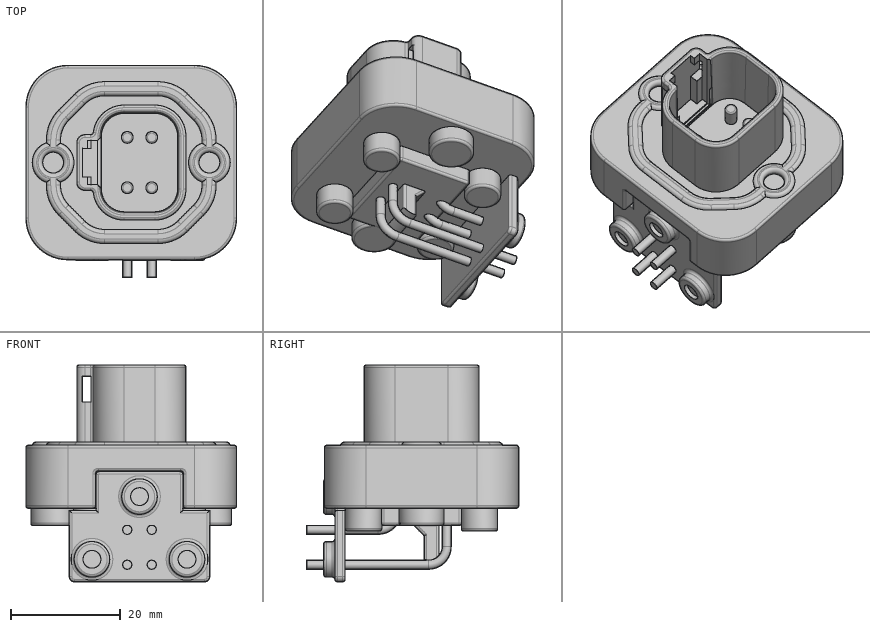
import cadquery as cq
import math

TOTAL_Y = 38.6
TOTAL_Z = 39.5

BODY_X = 38.35
BODY_Y = 35.4
BODY_H = 11.5
BODY_CORNER_R = 7.62
EDGE_R = 0.47

CONTACT_X = 1.5

SHROUD_X = 16.9
SHROUD_Y = 20.95
SHROUD_R = 5.65
SHROUD_TOP = 26.1
SHROUD_WALL = 1.25
SHROUD_RIM_R = 0.35
CAVITY_DRAFT = 1.0
KEY_LEFT = -9.9
KEY_Y = 10.15
KEY_R = 1.5
KEY_NECK_R = 0.5
KEY_POCKET_LEFT = -8.9
KEY_POCKET_Y = 5.2
KEY_MOUTH_LEFT = -7.98
KEY_LEDGE_LEFT = -7.35
KEY_MOUTH_Y = 8.05
KEY_STEP_LEFT = -6.12
KEY_FLARE = 0.6
KEY_FLOOR_LIFT = 0.65
WINDOW_BOTTOM = 19.4
WINDOW_TOP = 24.0

SEAL_X = 30.95
SEAL_Y = 29.55
SEAL_CORNER_CUT = 7.45
SEAL_CORNER_R = 7.7
SEAL_W = 2.65
SEAL_H = 0.6
SEAL_EDGE_R = 0.83

MOUNT_X = 14.22
MOUNT_RING_R = 3.85
MOUNT_HOLE_R = 1.9
MOUNT_HOLE_DEPTH = 1.15
MOUNT_BOSS_R = 4.05
MOUNT_BOSS_H = 3.15

BLOCK_X = 19.75
BLOCK_Y = 14.6
BLOCK_H = 3.12
PEG_R = 3.3
PEG_Y = 10.55
PEG_H = 4.15

PLATE_BACK = -13.9
PLATE_T = 1.85
PLATE_X = 25.6
PLATE_TOP = -0.35
PLATE_BOTTOM = SHROUD_TOP - TOTAL_Z
PLATE_CORNER_R = 1.0
SLOT_X = 16.05
SLOT_TOP = 6.8
SLOT_GAP = 0.1
NECK_CORNER_R = 0.5
NECK_X = SLOT_X - 2 * SLOT_GAP
NECK_TOP = SLOT_TOP - SLOT_GAP
PLATE_FRONT = PLATE_BACK - PLATE_T

PLATE_BOSS_SPACING = 8.65
PLATE_BOSS_R = 3.25
PLATE_BOSS_H = 2.05
PLATE_BOSS_FLARE = 0.55
PLATE_BOSS_HOLE_R = 1.6
PLATE_BOSS_HOLE_DEPTH = 0.8
UPPER_BOSS_Z = 2.15
LOWER_BOSS_Z = -9.3

PIN_R = 0.83
PIN_TIP_R = 1.05
PIN_TIP_ROUND = 0.28
PIN_TIP_TOP = 15.0
PIN_SPACING_X = 4.45
PIN_Y = 4.6
PIN_BEND_R = 3.3
PIN_FRONT = BODY_Y / 2 - TOTAL_Y
UPPER_PIN_Z = -3.9
LOWER_PIN_Z = -10.27

POST_X = 7.9
POST_BACK = 3.2
POST_FRONT = 0.47
POST_GUSSET = 1.85
POST_EDGE_R = 0.47

OVERLAP = 0.4
REACH = 0.05


def rounded_box(size_x, size_y, corner_r, bottom, top, center_x=0.0):
    """Upright box with rounded vertical edges."""
    box = cq.Workplane("XY", origin=(center_x, 0, bottom)).rect(size_x, size_y).extrude(top - bottom)
    return box.edges("|Z").fillet(corner_r)


def span_box(x0, x1, size_y, bottom, top):
    """Box from x0 to x1 and bottom to top, centred on Y = 0."""
    corner = cq.Workplane("XY", origin=(x0, 0, bottom))
    return corner.box(x1 - x0, size_y, top - bottom, centered=(False, True, False))


def cylinder(x, y, radius, bottom, top):
    """Upright cylinder."""
    return cq.Workplane("XY", origin=(x, y, bottom)).circle(radius).extrude(top - bottom)


def make_body():
    body = rounded_box(BODY_X, BODY_Y, BODY_CORNER_R, 0, BODY_H)
    body = body.faces(">Z or <Z").edges().fillet(EDGE_R)
    slot = (
        cq.Workplane("XZ", origin=(CONTACT_X, PLATE_BACK, 0))
        .rect(SLOT_X, 2 * SLOT_TOP)
        .extrude(BODY_Y)
        .edges("|Y and >Z")
        .fillet(NECK_CORNER_R)
    )
    body = body.cut(slot)
    half = SLOT_X / 2
    front = -BODY_Y / 2
    return body.edges(
        cq.selectors.BoxSelector(
            (CONTACT_X - half - REACH, front - REACH, EDGE_R),
            (CONTACT_X + half + REACH, front + REACH, SLOT_TOP + REACH),
        )
    ).fillet(EDGE_R)


def make_shroud():
    bottom = BODY_H - OVERLAP
    shroud = rounded_box(SHROUD_X, SHROUD_Y, SHROUD_R, bottom, SHROUD_TOP, CONTACT_X)
    key = span_box(KEY_LEFT, CONTACT_X, KEY_Y, bottom, SHROUD_TOP).edges("|Z and <X").fillet(KEY_R)
    shroud = shroud.union(key)
    neck_edges = cq.selectors.BoxSelector(
        (CONTACT_X - SHROUD_X / 2 - REACH, -KEY_Y / 2 - REACH, bottom),
        (CONTACT_X - SHROUD_X / 4, KEY_Y / 2 + REACH, SHROUD_TOP),
    )
    shroud = shroud.edges("|Z").edges(neck_edges).fillet(KEY_NECK_R)
    shroud = shroud.faces(">Z").edges().fillet(EDGE_R)
    shroud = shroud.cut(make_main_cavity())
    shroud = shroud.faces(">Z").wires(cq.selectors.LengthNthSelector(0)).fillet(SHROUD_RIM_R)
    return shroud.cut(make_key_cavity())


def make_main_cavity():
    """Cavity that narrows slightly towards its floor."""
    depth = SHROUD_TOP - BODY_H
    return (
        cq.Workplane("XY", origin=(CONTACT_X, 0, SHROUD_TOP))
        .sketch()
        .rect(SHROUD_X - 2 * SHROUD_WALL, SHROUD_Y - 2 * SHROUD_WALL)
        .vertices()
        .fillet(SHROUD_R - SHROUD_WALL)
        .finalize()
        .extrude(-depth, taper=CAVITY_DRAFT)
    )


def make_key_cavity():
    """Stepped pocket in the key, with a latch window through both of its cheeks."""
    key_end = CONTACT_X - SHROUD_X / 4
    key_floor = BODY_H + KEY_FLOOR_LIFT
    cavity = span_box(KEY_POCKET_LEFT, key_end, KEY_POCKET_Y, key_floor, SHROUD_TOP)
    cavity = cavity.union(span_box(KEY_LEDGE_LEFT, key_end, KEY_MOUTH_Y, key_floor, SHROUD_TOP))
    cavity = cavity.union(span_box(KEY_MOUTH_LEFT, key_end, KEY_MOUTH_Y, WINDOW_TOP, SHROUD_TOP))
    mouth_floor = BODY_H + KEY_FLOOR_LIFT / 2
    flare_end = KEY_STEP_LEFT + KEY_FLARE
    half = KEY_MOUTH_Y / 2
    mouth = (
        cq.Workplane("XY", origin=(0, 0, mouth_floor))
        .moveTo(KEY_STEP_LEFT, half)
        .lineTo(flare_end, half + KEY_FLARE)
        .lineTo(flare_end, -half - KEY_FLARE)
        .lineTo(KEY_STEP_LEFT, -half)
        .close()
        .extrude(SHROUD_TOP - mouth_floor)
    )
    cavity = cavity.union(mouth)
    return cavity.union(span_box(KEY_POCKET_LEFT, KEY_LEDGE_LEFT, KEY_Y + OVERLAP, WINDOW_BOTTOM, WINDOW_TOP))


def make_seal():
    bottom = BODY_H - OVERLAP
    height = SEAL_H + OVERLAP
    outer = cq.Workplane("XY", origin=(0, 0, bottom)).rect(SEAL_X, SEAL_Y).extrude(height)
    outer = outer.edges("|Z").chamfer(SEAL_CORNER_CUT).edges("|Z").fillet(SEAL_CORNER_R)
    inner = outer.faces("<Z").wires().toPending().offset2D(-SEAL_W).extrude(height, combine=False)
    return outer.cut(inner).faces(">Z").edges().fillet(SEAL_EDGE_R)


def add_mounts(part):
    """Add the bosses below and the rounded rings above, each ring with a shallow blind hole."""
    seal_top = BODY_H + SEAL_H
    hole_floor = seal_top - MOUNT_HOLE_DEPTH
    for x in (-MOUNT_X, MOUNT_X):
        boss = cylinder(x, 0, MOUNT_BOSS_R, -MOUNT_BOSS_H, OVERLAP).faces("<Z").edges().fillet(EDGE_R)
        ring = cylinder(x, 0, MOUNT_RING_R, hole_floor, seal_top)
        ring = ring.cut(cylinder(x, 0, MOUNT_HOLE_R, hole_floor, seal_top))
        ring = ring.faces(">Z").edges().fillet(SEAL_EDGE_R)
        part = part.cut(cylinder(x, 0, MOUNT_RING_R - SEAL_EDGE_R, hole_floor, seal_top))
        part = part.union(boss).union(ring)
    return part


def make_underside():
    block = rounded_box(BLOCK_X, BLOCK_Y, EDGE_R, -BLOCK_H, OVERLAP, CONTACT_X)
    underside = block.faces("<Z").edges().fillet(EDGE_R)
    for side in (-1, 1):
        for y in (-PEG_Y, PEG_Y):
            peg = cylinder(CONTACT_X + side * PLATE_BOSS_SPACING, y, PEG_R, -PEG_H, OVERLAP)
            underside = underside.union(peg.faces("<Z").edges().fillet(EDGE_R))
    return underside


def make_plate():
    plane = cq.Workplane("XZ", origin=(CONTACT_X, PLATE_BACK, 0))
    mid_z = (PLATE_TOP + PLATE_BOTTOM) / 2
    plate = plane.center(0, mid_z).rect(PLATE_X, PLATE_TOP - PLATE_BOTTOM).extrude(PLATE_T)
    plate = plate.edges("|Y and <Z").fillet(PLATE_CORNER_R)
    neck_bottom = PLATE_TOP - PLATE_CORNER_R
    neck = plane.center(0, (NECK_TOP + neck_bottom) / 2).rect(NECK_X, NECK_TOP - neck_bottom).extrude(PLATE_T)
    neck = neck.edges("|Y and >Z").fillet(NECK_CORNER_R)
    plate = plate.union(neck)
    plate = plate.faces("<Y").edges().fillet(EDGE_R).faces(">Y").edges("<Z or >X or <X").fillet(EDGE_R)
    tongue_h = NECK_TOP - 2 * EDGE_R
    tongue = plane.center(0, tongue_h / 2 + EDGE_R).rect(NECK_X - 2 * EDGE_R, tongue_h).extrude(-OVERLAP)
    return plate.union(tongue)


def make_plate_boss(x, z):
    """Boss turned about an axis along -Y, with a concave flare at its foot."""
    foot_r = PLATE_BOSS_R + PLATE_BOSS_FLARE
    root = PLATE_FRONT + OVERLAP
    tip = PLATE_FRONT - PLATE_BOSS_H
    flare_end = PLATE_FRONT - PLATE_BOSS_FLARE
    bend = PLATE_BOSS_FLARE * (1 - math.sqrt(0.5))
    floor = tip + PLATE_BOSS_HOLE_DEPTH
    boss = (
        cq.Workplane("XY")
        .moveTo(0, root)
        .lineTo(foot_r, root)
        .lineTo(foot_r, PLATE_FRONT)
        .threePointArc((PLATE_BOSS_R + bend, PLATE_FRONT - bend), (PLATE_BOSS_R, flare_end))
        .lineTo(PLATE_BOSS_R, tip)
        .lineTo(PLATE_BOSS_HOLE_R, tip)
        .lineTo(PLATE_BOSS_HOLE_R, floor)
        .lineTo(0, floor)
        .close()
        .revolve(360, (0, 0, 0), (0, 1, 0))
    )
    outer_rim = cq.selectors.RadiusNthSelector(-1)
    return boss.faces("<Y").edges(outer_rim).fillet(EDGE_R).translate((x, 0, z))


def make_post():
    """Post below the block, hollowed at its foot to follow the pin bends."""
    top = -BLOCK_H + OVERLAP
    gusset_edge = -BLOCK_H - POST_GUSSET
    post = (
        cq.Workplane("YZ", origin=(CONTACT_X - POST_X / 2, 0, 0))
        .moveTo(POST_BACK, top)
        .lineTo(POST_BACK, LOWER_PIN_Z)
        .lineTo(POST_FRONT, LOWER_PIN_Z)
        .lineTo(POST_FRONT, gusset_edge)
        .lineTo(POST_FRONT - POST_GUSSET - OVERLAP, top)
        .close()
        .extrude(POST_X)
    )
    bend_y = PIN_Y - PIN_BEND_R
    bend_z = LOWER_PIN_Z + PIN_BEND_R
    inside = (
        cq.Workplane("YZ", origin=(CONTACT_X - POST_X / 2, bend_y, bend_z))
        .circle(PIN_BEND_R - PIN_R)
        .extrude(POST_X)
    )
    above_bend = (
        cq.Workplane("XY", origin=(CONTACT_X, bend_y, bend_z))
        .rect(POST_X, 4 * PIN_BEND_R)
        .extrude(-bend_z)
    )
    return post.intersect(inside.union(above_bend)).faces("<X or >X").edges("%LINE").fillet(POST_EDGE_R)


def make_pin(x, y, run_z):
    """Pin coming down from the shroud and bent forward to run along -Y."""
    bend_z = run_z + PIN_BEND_R
    bend_y = y - PIN_BEND_R
    chord = PIN_BEND_R * math.sqrt(0.5)
    path = (
        cq.Workplane("YZ", origin=(x, 0, 0))
        .moveTo(y, BODY_H - OVERLAP)
        .lineTo(y, bend_z)
        .threePointArc((bend_y + chord, bend_z - chord), (bend_y, run_z))
        .lineTo(PIN_FRONT, run_z)
    )
    pin = cq.Workplane("XY", origin=(x, y, BODY_H - OVERLAP)).circle(PIN_R).sweep(path)
    tip = cylinder(x, y, PIN_TIP_R, BODY_H - OVERLAP, PIN_TIP_TOP)
    return pin.union(tip.faces(">Z").edges().fillet(PIN_TIP_ROUND))


part = make_body().union(make_shroud()).union(make_seal())
part = add_mounts(part)
part = part.union(make_underside()).union(make_plate()).union(make_post())

for boss_x, boss_z in (
    (CONTACT_X, UPPER_BOSS_Z),
    (CONTACT_X - PLATE_BOSS_SPACING, LOWER_BOSS_Z),
    (CONTACT_X + PLATE_BOSS_SPACING, LOWER_BOSS_Z),
):
    part = part.union(make_plate_boss(boss_x, boss_z))

for pin_x in (CONTACT_X - PIN_SPACING_X / 2, CONTACT_X + PIN_SPACING_X / 2):
    part = part.union(make_pin(pin_x, -PIN_Y, UPPER_PIN_Z))
    part = part.union(make_pin(pin_x, PIN_Y, LOWER_PIN_Z))

result = part